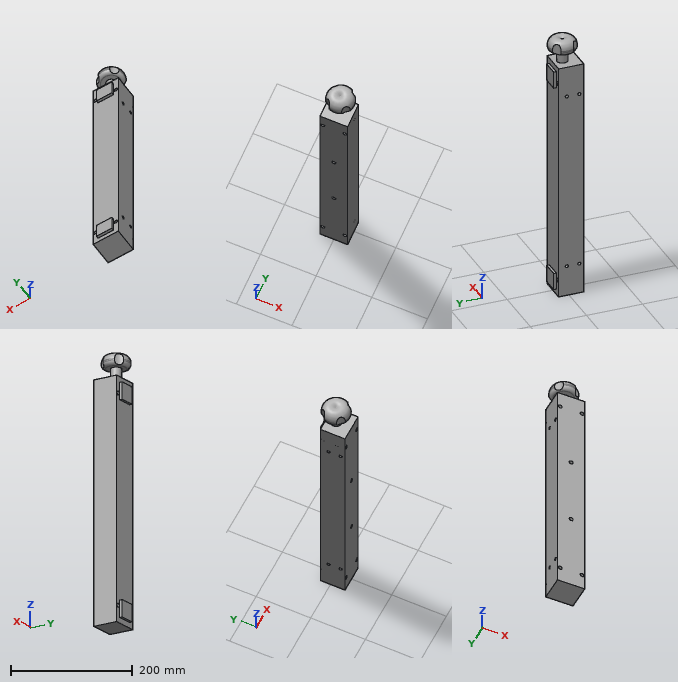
import cadquery as cq
import math

TOTAL_HEIGHT = 474.5
TOTAL_DEPTH = 53.0
BODY_WIDTH = 50.0
BODY_DEPTH = 45.0
BODY_HEIGHT = 430.0

KNOB_RADIUS = BODY_WIDTH / 2
AXIS_Y = TOTAL_DEPTH - KNOB_RADIUS
KNOB_HEIGHT = 23.5
KNOB_DOME_RADIUS = 14.0
KNOB_BOTTOM_RADIUS = 7.0
GRIP_COUNT = 4
GRIP_RADIUS = 12.0
GRIP_CLOSEST = 21.0
STEM_DIAMETER = 19.0
SPINDLE_DIAMETER = 10.5
SPINDLE_START = 23.5

PAD_SIZE = 30.5
PAD_THICKNESS = 4.7
PAD_END_GAP = 10.0

MOUNT_DIAMETER = 6.5
MOUNT_X = 20.0
MOUNT_END_GAP = 30.0
FRONT_HOLE_DIAMETER = 6.5
FRONT_HOLE_HEIGHTS = (150.0, 280.0)
SIDE_HOLE_DIAMETER = 5.0
SIDE_HOLE_DEPTH = 21.5
SIDE_HOLE_END_GAP = 55.0
SIDE_HOLE_Y = (8.0, 30.5)
DRILL_POINT_ANGLE = 118.0


def mirrored_heights(end_gap):
    """Heights at the same distance from the bottom and the top of the body."""
    return (end_gap, BODY_HEIGHT - end_gap)


def make_body():
    """Upright bar with its front face at y = 0 and its bottom at z = 0."""
    return cq.Workplane("XY").box(BODY_WIDTH, BODY_DEPTH, BODY_HEIGHT, centered=(True, False, False))


def make_pads():
    """Two square pads standing on the back face, one near each end."""
    centres = [(0, z) for z in mirrored_heights(PAD_END_GAP + PAD_SIZE / 2)]
    return (
        cq.Workplane("XZ", origin=(0, BODY_DEPTH, 0))
        .pushPoints(centres)
        .rect(PAD_SIZE, PAD_SIZE)
        .extrude(-PAD_THICKNESS)
    )


def make_mount_holes():
    """Four corner holes through the body from front to back."""
    centres = [(x, z) for x in (-MOUNT_X, MOUNT_X) for z in mirrored_heights(MOUNT_END_GAP)]
    return cq.Workplane("XZ").pushPoints(centres).circle(MOUNT_DIAMETER / 2).extrude(-BODY_DEPTH)


def make_front_holes():
    """Two front holes that run in to the spindle axis."""
    centres = [(0, z) for z in FRONT_HOLE_HEIGHTS]
    return cq.Workplane("XZ").pushPoints(centres).circle(FRONT_HOLE_DIAMETER / 2).extrude(-AXIS_Y)


def make_side_hole(y, z):
    """One blind hole in the -X face, with a conical drill point."""
    radius = SIDE_HOLE_DIAMETER / 2
    mouth = -BODY_WIDTH / 2
    shoulder = mouth + SIDE_HOLE_DEPTH
    tip = shoulder + radius / math.tan(math.radians(DRILL_POINT_ANGLE / 2))
    return (
        cq.Workplane("XY", origin=(0, y, z))
        .polyline([(mouth, 0), (mouth, radius), (shoulder, radius), (tip, 0)])
        .close()
        .revolve(360, (0, 0, 0), (1, 0, 0))
    )


def make_knob():
    """Star knob: domed disc, dished at its centre, with round finger grips cut into its rim."""
    bottom = TOTAL_HEIGHT - KNOB_HEIGHT
    crest_radius = KNOB_RADIUS - KNOB_DOME_RADIUS
    dome_base = TOTAL_HEIGHT - KNOB_DOME_RADIUS
    dish_height = dome_base + math.sqrt(KNOB_DOME_RADIUS**2 - crest_radius**2)
    disc = (
        cq.Workplane("XZ")
        .moveTo(0, bottom)
        .lineTo(KNOB_RADIUS - KNOB_BOTTOM_RADIUS, bottom)
        .radiusArc((KNOB_RADIUS, bottom + KNOB_BOTTOM_RADIUS), -KNOB_BOTTOM_RADIUS)
        .lineTo(KNOB_RADIUS, dome_base)
        .threePointArc((crest_radius, TOTAL_HEIGHT), (0, dish_height))
        .close()
        .revolve(360, (0, 0, 0), (0, 1, 0))
    )
    grips = (
        cq.Workplane("XY", origin=(0, 0, bottom))
        .polarArray(GRIP_CLOSEST + GRIP_RADIUS, 180 / GRIP_COUNT, 360, GRIP_COUNT)
        .circle(GRIP_RADIUS)
        .extrude(KNOB_HEIGHT)
    )
    return disc.cut(grips).translate((0, AXIS_Y, 0))


def make_shaft(diameter, start, end):
    """Round shaft on the knob axis between two heights."""
    return cq.Workplane("XY", origin=(0, AXIS_Y, start)).circle(diameter / 2).extrude(end - start)


body = make_body().union(make_pads()).cut(make_mount_holes()).cut(make_front_holes())
for hole_y in SIDE_HOLE_Y:
    for hole_z in mirrored_heights(SIDE_HOLE_END_GAP):
        body = body.cut(make_side_hole(hole_y, hole_z))

spindle = make_shaft(SPINDLE_DIAMETER, SPINDLE_START, BODY_HEIGHT)
stem = make_shaft(STEM_DIAMETER, BODY_HEIGHT, TOTAL_HEIGHT - KNOB_HEIGHT)

result = body.union(spindle).union(stem).union(make_knob())